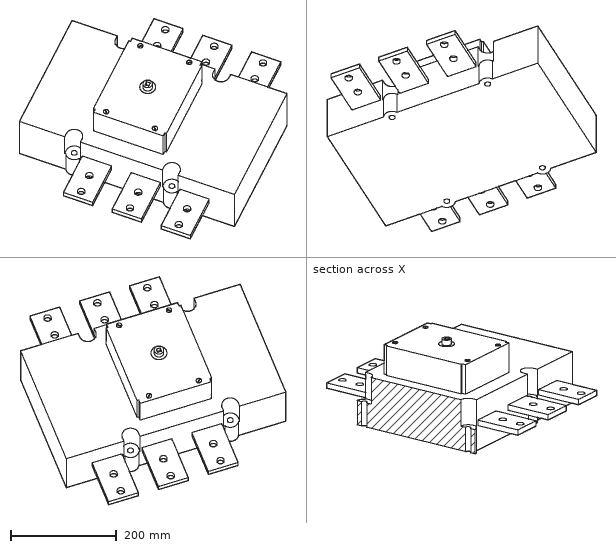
import cadquery as cq

HOUSING_X = 441.0
HOUSING_Y = 256.2
HOUSING_Z = 103.0

SHAFT_X = -11.5

BLADE_REACH_Y = 441.0
BLADE_WIDTH = 60.0
BLADE_THICKNESS = 11.0
BLADE_Z = 50.0
BLADE_SPACING = 100.0
MIDDLE_BLADE_X = SHAFT_X + BLADE_SPACING / 2
TERMINAL_HOLE_D = 14.0
TERMINAL_HOLE_EDGE = 15.5
TERMINAL_HOLE_SPACING = 40.0

MOUNT_SPACING_X = 2 * BLADE_SPACING
MOUNT_SPACING_Y = 240.0
MOUNT_D = 32.0
MOUNT_HOLE_D = 11.0
MOUNT_SEAT_Z = BLADE_Z

COVER_X = 150.0
COVER_Y = 188.5
COVER_Z = 59.5
COVER_TOP = HOUSING_Z + COVER_Z
CORNER_NOTCH_X = 3.5
CORNER_NOTCH_Y = 8.0

SCREW_SPACING_X = BLADE_SPACING
SCREW_SPACING_Y = 167.0
SCREW_D = 10.0
SCREW_SINK = 0.5
SCREW_SLOT_WIDTH = 1.0
SCREW_SLOT_DEPTH = 1.5

OVERALL_Z = 173.0
SHAFT_D = 18.0
SHAFT_RECESS_D = 30.0
SHAFT_RECESS_DEPTH = 0.5
SHAFT_SOCKET = 7.5
SHAFT_SOCKET_DEPTH = OVERALL_Z - COVER_TOP


def block(x, y, z, base_z, center_x=0.0, center_y=0.0):
    """Box centred at (center_x, center_y) and standing on base_z."""
    return (
        cq.Workplane("XY", origin=(center_x, center_y, base_z))
        .box(x, y, z, centered=(True, True, False))
    )


def cylinder(diameter, height, base_z, center_x=0.0, center_y=0.0):
    """Upright cylinder standing on base_z."""
    return (
        cq.Workplane("XY", origin=(center_x, center_y, base_z))
        .circle(diameter / 2)
        .extrude(height)
    )


def add_terminals(body):
    """Blades running through the housing and out of both long sides."""
    outer_hole_y = BLADE_REACH_Y / 2 - TERMINAL_HOLE_EDGE
    inner_hole_y = outer_hole_y - TERMINAL_HOLE_SPACING
    for index in (-1, 0, 1):
        x = MIDDLE_BLADE_X + index * BLADE_SPACING
        blade = block(BLADE_WIDTH, BLADE_REACH_Y, BLADE_THICKNESS, BLADE_Z, x)
        for hole_y in (outer_hole_y, inner_hole_y):
            for side in (-1, 1):
                hole = cylinder(TERMINAL_HOLE_D, BLADE_THICKNESS, BLADE_Z, x, side * hole_y)
                blade = blade.cut(hole)
        body = body.union(blade)
    return body


def add_mounts(body):
    """Bosses with through holes, each reached from above by an open-sided pocket."""
    pocket_depth = HOUSING_Z - MOUNT_SEAT_Z
    for side_x in (-1, 1):
        for side_y in (-1, 1):
            x = SHAFT_X + side_x * MOUNT_SPACING_X / 2
            y = side_y * MOUNT_SPACING_Y / 2
            opening_y = y + side_y * MOUNT_D / 2
            boss = cylinder(MOUNT_D, MOUNT_SEAT_Z, 0, x, y)
            pocket = cylinder(MOUNT_D, pocket_depth, MOUNT_SEAT_Z, x, y)
            opening = block(MOUNT_D, MOUNT_D, pocket_depth, MOUNT_SEAT_Z, x, opening_y)
            hole = cylinder(MOUNT_HOLE_D, MOUNT_SEAT_Z, 0, x, y)
            body = body.union(boss).cut(pocket).cut(opening).cut(hole)
    return body


def add_cover(body):
    """Two crossed blocks that leave a small notch at every corner."""
    wide = block(COVER_X, COVER_Y - 2 * CORNER_NOTCH_Y, COVER_Z, HOUSING_Z, SHAFT_X)
    long = block(COVER_X - 2 * CORNER_NOTCH_X, COVER_Y, COVER_Z, HOUSING_Z, SHAFT_X)
    return body.union(wide).union(long)


def cut_screws(body):
    """Sunken screw heads with diagonal slots, turned the other way along the -Y edge."""
    head_z = COVER_TOP - SCREW_SINK
    for side_x in (-1, 1):
        for side_y in (-1, 1):
            x = SHAFT_X + side_x * SCREW_SPACING_X / 2
            y = side_y * SCREW_SPACING_Y / 2
            slot = (
                cq.Workplane("XY", origin=(x, y, head_z - SCREW_SLOT_DEPTH))
                .transformed(rotate=(0, 0, side_y * 45))
                .rect(SCREW_D, SCREW_SLOT_WIDTH)
                .extrude(SCREW_SLOT_DEPTH)
                .intersect(cylinder(SCREW_D, COVER_TOP, 0, x, y))
            )
            body = body.cut(cylinder(SCREW_D, SCREW_SINK, head_z, x, y)).cut(slot)
    return body


def add_shaft(body):
    """Round shaft with a square socket in its end."""
    recess_z = COVER_TOP - SHAFT_RECESS_DEPTH
    recess = cylinder(SHAFT_RECESS_D, SHAFT_RECESS_DEPTH, recess_z, SHAFT_X)
    shaft = cylinder(SHAFT_D, OVERALL_Z - recess_z, recess_z, SHAFT_X)
    socket_z = OVERALL_Z - SHAFT_SOCKET_DEPTH
    socket = block(SHAFT_SOCKET, SHAFT_SOCKET, SHAFT_SOCKET_DEPTH, socket_z, SHAFT_X)
    return body.cut(recess).union(shaft).cut(socket)


result = block(HOUSING_X, HOUSING_Y, HOUSING_Z, 0)
result = add_terminals(result)
result = add_mounts(result)
result = add_cover(result)
result = cut_screws(result)
result = add_shaft(result)